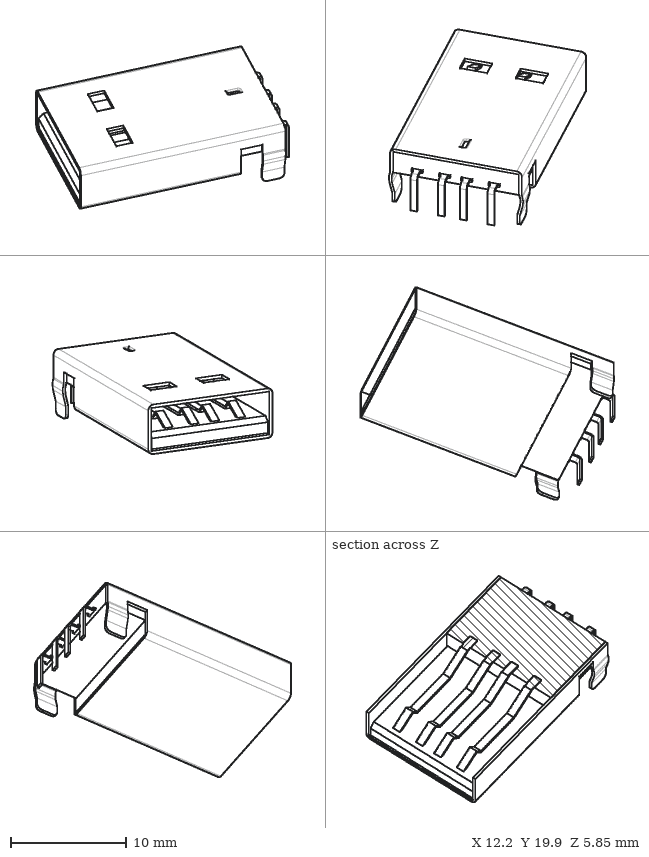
import cadquery as cq


wall = 0.3
shell_width = 12.0
shell_height = 4.5
shell_length = 18.75
shell_corner_radius = 0.5
half_width = shell_width / 2
half_cavity = half_width - wall
cavity_top = shell_height - wall

window_width = 2.5
window_length = 1.5
window_front = 4.0
window_offset = 2.54

dimple_width = 0.5
dimple_length = 1.2
dimple_depth = 0.2
dimple_taper = 20
dimple_rim_radius = 0.15
dimple_center_y = shell_length - 2.67

leg_length = 2.05
leg_front = shell_length - leg_length
leg_thickness = 0.25
leg_tip_radius = 0.5
leg_root_z = 2.0
leg_bottom = -1.35
bow_start = (half_width + 0.01, 1.87)
bow_peak = (half_width + 0.1, 1.4)
bow_end = (half_width + 0.095, 1.28)
bend_start = (half_width + 0.06, 0.89)
bend_end = (half_width - 0.2, -0.17)

notch_length = 2.0
notch_top = 3.0
notch_front = leg_front - notch_length

tongue_width = 11.2
tongue_front = 0.1
tongue_bottom = 0.44
tongue_top = 1.87
tongue_chamfer = 0.46
block_front = 11.0
block_rear_bottom = leg_root_z

row_positions = (-3.5, -1.0, 1.0, 3.5)
contact_width = 0.75
contact_drop = 0.22
contact_slope = 0.54
contact_tip_y = 1.05
contact_crest_z = 2.87
contact_flat_z = 2.25
contact_rear_z = 3.79
contact_embed = 1.0

lead_thickness = 0.2
lead_width = 0.6
lead_top = 2.8
lead_bottom = -0.9
lead_reach = 1.1
lead_bend_radius = 0.4
shoulder_width = 1.0
shoulder_reach = 0.2
shoulder_embed = 1.5


def box(x_range, y_range, z_range):
    """Block between the given limits along each axis."""
    (x0, x1), (y0, y1), (z0, z1) = x_range, y_range, z_range
    return cq.Workplane("XY").box(x1 - x0, y1 - y0, z1 - z0, centered=False).translate((x0, y0, z0))


def centered_box(width, y_range, z_range, x=0.0):
    """Block of the given width, centred on x."""
    return box((x - width / 2, x + width / 2), y_range, z_range)


def make_tube():
    tube = centered_box(shell_width, (0, shell_length), (0, shell_height))
    tube = tube.edges("|Y").fillet(shell_corner_radius)
    cavity = centered_box(2 * half_cavity, (0, shell_length), (wall, cavity_top))
    return tube.cut(cavity)


def make_window(x):
    window_y = (window_front, window_front + window_length)
    return centered_box(window_width, window_y, (cavity_top, shell_height), x)


def press_dimple(shell):
    """Sink a tapered pocket into the top and round its rim."""
    pocket = (
        cq.Workplane("XY", origin=(0, dimple_center_y, shell_height))
        .rect(dimple_width, dimple_length)
        .extrude(-dimple_depth, taper=dimple_taper)
    )
    rim = cq.selectors.BoxSelector(
        (-dimple_width, dimple_center_y - dimple_length, cavity_top + dimple_depth),
        (dimple_width, dimple_center_y + dimple_length, shell_height + wall),
    )
    return shell.cut(pocket).edges(rim).fillet(dimple_rim_radius)


def make_leg():
    """Right-hand leg: a bowed strip that slants inward to a rounded tip."""

    def inner(point):
        x, z = point
        return (x - leg_thickness, z)

    root = (half_width, leg_root_z)
    tip = (bend_end[0], leg_bottom)
    leg = (
        cq.Workplane("XZ", origin=(0, leg_front, 0))
        .moveTo(*root)
        .lineTo(*bow_start)
        .threePointArc(bow_peak, bow_end)
        .lineTo(*bend_start)
        .lineTo(*bend_end)
        .lineTo(*tip)
        .lineTo(*inner(tip))
        .lineTo(*inner(bend_end))
        .lineTo(*inner(bend_start))
        .lineTo(*inner(bow_end))
        .threePointArc(inner(bow_peak), inner(bow_start))
        .lineTo(*inner(root))
        .close()
        .extrude(-leg_length)
    )
    return leg.edges("|X and <Z").fillet(leg_tip_radius)


def make_shell():
    shell = make_tube()
    shell = shell.cut(centered_box(2 * shell_width, (notch_front, leg_front), (0, notch_top)))
    shell = shell.cut(centered_box(2 * shell_width, (leg_front, shell_length), (0, leg_root_z)))
    for side in (-1, 1):
        shell = shell.cut(make_window(side * window_offset))
    shell = press_dimple(shell)
    leg = make_leg()
    return shell.union(leg).union(leg.mirror("YZ"))


def make_contact(x):
    """Sprung strip: tip on the tongue, crest, flat run, then a ramp up into the block."""
    crest_y = contact_tip_y + (contact_crest_z - tongue_top) / contact_slope
    flat_start_y = crest_y + contact_crest_z - contact_flat_z
    flat_end_y = block_front - (contact_rear_z - contact_flat_z) / contact_slope
    rear_y = block_front + contact_embed
    top_line = [
        (contact_tip_y, tongue_top),
        (crest_y, contact_crest_z),
        (flat_start_y, contact_flat_z),
        (flat_end_y, contact_flat_z),
        (block_front, contact_rear_z),
        (rear_y, contact_rear_z),
    ]
    underside = [(y, z - contact_drop) for y, z in reversed(top_line[1:])]
    tip_heel = (contact_tip_y + contact_drop / contact_slope, tongue_top)
    strip = cq.Workplane("YZ").polyline(top_line + underside + [tip_heel]).close()
    return strip.extrude(contact_width / 2, both=True).translate((x, 0, 0))


def make_lead(x):
    """Solder lead: wide shoulder held in the block and a narrow tail bent downward."""
    lead_under = lead_top - lead_thickness
    tail_y = shell_length + lead_reach
    shoulder = centered_box(
        shoulder_width,
        (shell_length - shoulder_embed, shell_length + shoulder_reach),
        (lead_under, lead_top),
        x,
    )
    tail = centered_box(lead_width, (shell_length, tail_y), (lead_bottom, lead_top), x)
    tail = tail.edges(">Y and >Z").fillet(lead_bend_radius)
    relief = centered_box(lead_width, (shell_length, tail_y - lead_thickness), (lead_bottom, lead_under), x)
    relief = relief.edges(">Y and >Z").fillet(lead_bend_radius - lead_thickness)
    return shoulder.union(tail.cut(relief))


def make_insulator():
    tongue = centered_box(tongue_width, (tongue_front, block_front), (tongue_bottom, tongue_top))
    tongue = tongue.edges("<Y and >Z").chamfer(tongue_chamfer)
    block = centered_box(2 * half_cavity, (block_front, shell_length), (wall, cavity_top))
    rear_step = centered_box(shell_width, (notch_front, shell_length), (0, block_rear_bottom))
    return tongue.union(block).cut(rear_step)


shell = make_shell()
contacts = [make_contact(x) for x in row_positions]
leads = [make_lead(x) for x in row_positions]
insulator = make_insulator()
for insert in contacts + leads:
    insulator = insulator.cut(insert)

result = cq.Compound.makeCompound(
    [shell.val(), insulator.val()]
    + [contact.val() for contact in contacts]
    + [lead.val() for lead in leads]
)